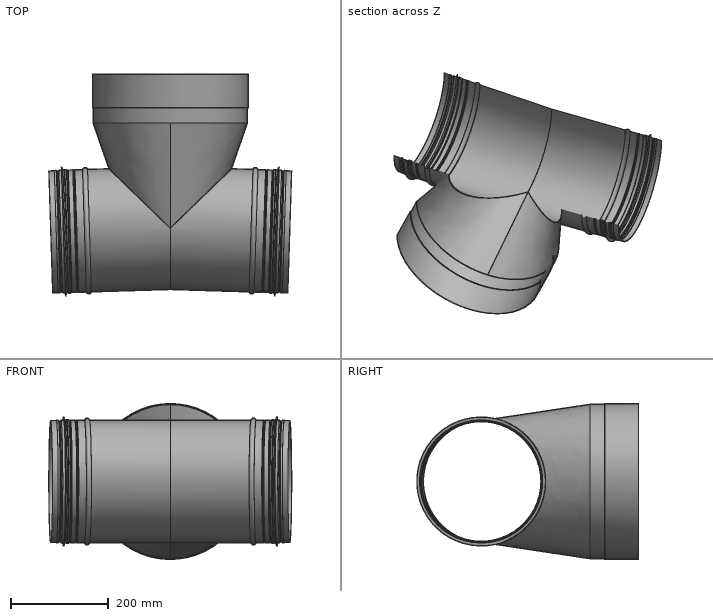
import cadquery as cq
import math


WALL = 1.0

PIPE_RADIUS = 252.0 / 2
RUN_TILT = 1.8
OVERALL_X = 498.5

COLLAR_RADIUS = 317.0 / 2
SOCKET_RADIUS = 320.0 / 2
CONE_END = 216.0
COLLAR_LENGTH = 30.5
SOCKET_LENGTH = 70.0

RIM_LENGTH = 11.5
RIM_RADIUS = 250.5 / 2
LOCK_GROOVE = (15.5, 17.5, 18.5, 21.0)
SEAL_GROOVE = (32.0, 33.0, 39.5, 40.5)
STOP_GROOVE = (49.5, 51.0, 52.5, 54.0)
GROOVE_FLOOR_RADIUS = 247.0 / 2
STOP_FLOOR_RADIUS = 250.5 / 2
BEAD_START = 69.5
BEAD_END = 79.5
BEAD_HEIGHT = 4.0

FLANGE_RADIUS = 253.0 / 2
FLANGE_FRONT = 26.5
FRONT_LIP_RADIUS = 264.5 / 2
FRONT_LIP_TIP = (26.0, 27.0)
FRONT_LIP_FOOT = 29.5
BACK_LIP_RADIUS = 254.5 / 2
BACK_LIP_FOOT = (32.5, 37.5)
BACK_LIP_TIP = (33.5, 36.5)

TILT = math.radians(RUN_TILT)
RUN_LENGTH = (OVERALL_X / 2 - RIM_RADIUS * math.sin(TILT)) / math.cos(TILT)
PIPE_LENGTH = RUN_LENGTH - BEAD_END
SADDLE_ANGLE = (math.pi / 2 + TILT) / 2
COLLAR_END = CONE_END + COLLAR_LENGTH
SOCKET_END = COLLAR_END + SOCKET_LENGTH
REACH = OVERALL_X
ARC_STEPS = 16


def on_run_axis(body):
    """Tilt a body built along the X axis onto the axis of the -X pipe half."""
    return body.rotate((0, 0, 0), (0, 0, 1), RUN_TILT)


def both_sides(body):
    """The -X body and its mirror image on the +X side."""
    return [body.val(), body.mirror("YZ").val()]


def groove(stations, floor_radius):
    """Outer surface points of a groove rolled into the spigot wall."""
    edge_in, floor_in, floor_out, edge_out = stations
    return [
        (edge_in, PIPE_RADIUS),
        (floor_in, floor_radius),
        (floor_out, floor_radius),
        (edge_out, PIPE_RADIUS),
    ]


def axial(station, radius):
    """Profile point at a station measured from the open end of the -X spigot."""
    return (station - RUN_LENGTH, radius)


def pipe_half():
    """Half of the run, mitred at X = 0 and cut along the saddle plane."""
    tube = (
        cq.Workplane("YZ")
        .circle(PIPE_RADIUS)
        .circle(PIPE_RADIUS - WALL)
        .extrude(REACH)
        .translate((-PIPE_LENGTH, 0, 0))
    )
    saddle_far = (-REACH * math.sin(SADDLE_ANGLE), REACH * math.cos(SADDLE_ANGLE))
    kept_zone = (
        cq.Workplane("XY")
        .polyline([(0, 0), saddle_far, (-REACH, -REACH), (0, -REACH)])
        .close()
        .extrude(PIPE_RADIUS * 2, both=True)
    )
    return on_run_axis(tube).intersect(kept_zone)


def spigot():
    """Sheet-metal spigot with rolled grooves and a rounded stop bead."""
    grooved_wall = [
        (0, RIM_RADIUS),
        (RIM_LENGTH, RIM_RADIUS),
        (RIM_LENGTH, PIPE_RADIUS),
        *groove(LOCK_GROOVE, GROOVE_FLOOR_RADIUS),
        *groove(SEAL_GROOVE, GROOVE_FLOOR_RADIUS),
        *groove(STOP_GROOVE, STOP_FLOOR_RADIUS),
        (BEAD_START, PIPE_RADIUS),
    ]
    outer = [axial(station, radius) for station, radius in grooved_wall]
    inner = [axial(station, radius - WALL) for station, radius in grooved_wall]
    bead_middle = (BEAD_START + BEAD_END) / 2
    crest = PIPE_RADIUS + BEAD_HEIGHT
    profile = (
        cq.Workplane("XY")
        .polyline(outer)
        .threePointArc(axial(bead_middle, crest), axial(BEAD_END, PIPE_RADIUS))
        .lineTo(*axial(BEAD_END, PIPE_RADIUS - WALL))
        .threePointArc(axial(bead_middle, crest - WALL), inner[-1])
    )
    for point in reversed(inner[:-1]):
        profile = profile.lineTo(*point)
    return on_run_axis(profile.close().revolve(360, (0, 0, 0), (1, 0, 0)))


def seal():
    """Rubber ring keyed into the seal groove, with a tall front lip and a low back lip."""
    edge_in, floor_in, floor_out, _ = SEAL_GROOVE
    section = [
        (FLANGE_FRONT, PIPE_RADIUS),
        (FRONT_LIP_TIP[0], FRONT_LIP_RADIUS),
        (FRONT_LIP_TIP[1], FRONT_LIP_RADIUS),
        (FRONT_LIP_FOOT, FLANGE_RADIUS),
        (BACK_LIP_FOOT[0], FLANGE_RADIUS),
        (BACK_LIP_TIP[0], BACK_LIP_RADIUS),
        (BACK_LIP_TIP[1], BACK_LIP_RADIUS),
        (BACK_LIP_FOOT[1], FLANGE_RADIUS),
        (floor_out, GROOVE_FLOOR_RADIUS),
        (floor_in, GROOVE_FLOOR_RADIUS),
        (edge_in, PIPE_RADIUS),
    ]
    ring = (
        cq.Workplane("XY")
        .polyline([axial(station, radius) for station, radius in section])
        .close()
        .revolve(360, (0, 0, 0), (1, 0, 0))
    )
    return on_run_axis(ring)


def half_outline(width, height, centre, outward):
    """Closed half-ellipse: a vertical chord through `centre` and an arc that bulges along `outward`."""
    up = cq.Vector(0, 0, 1)
    middle = cq.Vector(*centre)
    side = cq.Vector(*outward)
    angles = [math.pi * step / ARC_STEPS for step in range(ARC_STEPS + 1)]
    arc = cq.Edge.makeSpline(
        [middle + up * (height * math.cos(angle)) + side * (width * math.sin(angle)) for angle in angles]
    )
    chord = cq.Edge.makeLine(middle - up * height, middle + up * height)
    return cq.Wire.assembleEdges([arc, chord])


def cone_blank(pipe_radius, collar_radius):
    """Solid half of the transition, ruled from the saddle ellipse to the collar circle."""
    saddle_direction = (-math.sin(SADDLE_ANGLE), math.cos(SADDLE_ANGLE), 0)
    saddle_width = pipe_radius / math.sin(SADDLE_ANGLE)
    saddle = half_outline(saddle_width, pipe_radius, (0, 0, 0), saddle_direction)
    circle = half_outline(collar_radius, collar_radius, (0, CONE_END, 0), (-1, 0, 0))
    return cq.Workplane(cq.Solid.makeLoft([saddle, circle], True))


def cone_half():
    """Sheet-metal half of the transition between the run and the branch collar."""
    outside = cone_blank(PIPE_RADIUS, COLLAR_RADIUS)
    return outside.cut(cone_blank(PIPE_RADIUS - WALL, COLLAR_RADIUS - WALL))


def socket():
    """Collar that widens through a flat shoulder into the open branch socket."""
    profile = [
        (COLLAR_RADIUS, CONE_END),
        (COLLAR_RADIUS, COLLAR_END),
        (SOCKET_RADIUS, COLLAR_END),
        (SOCKET_RADIUS, SOCKET_END),
        (SOCKET_RADIUS - WALL, SOCKET_END),
        (SOCKET_RADIUS - WALL, COLLAR_END + WALL),
        (COLLAR_RADIUS - WALL, COLLAR_END + WALL),
        (COLLAR_RADIUS - WALL, CONE_END),
    ]
    return cq.Workplane("XY").polyline(profile).close().revolve(360, (0, 0, 0), (0, 1, 0))


result = cq.Compound.makeCompound(
    [
        *both_sides(pipe_half()),
        *both_sides(spigot()),
        *both_sides(seal()),
        *both_sides(cone_half()),
        socket().val(),
    ]
)